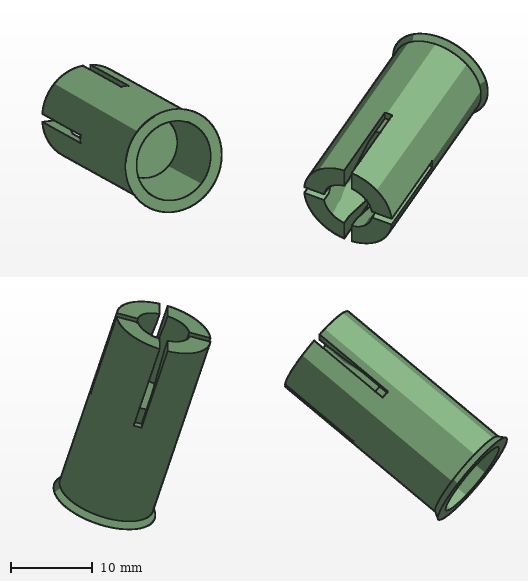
import cadquery as cq
import math

sleeve_length = 25.0
sleeve_radius = 6.0
bore_radius = 5.0

lip_radius = 6.5
lip_angle = 30.0
lip_length = (lip_radius - sleeve_radius) / math.tan(math.radians(lip_angle))

mouth_radius = 3.3
mouth_length = 1.3
mouth_cone_angle = 17.5
mouth_cone_length = (bore_radius - mouth_radius) / math.tan(math.radians(mouth_cone_angle))

slot_width = 1.0
slot_length = 11.0
slot_cut_angles = (0.0, 90.0)

plug_start = 9.5
plug_length = 8.0
plug_radius = 4.0
plug_taper_length = 1.3
plug_taper_angle = 5.0
plug_nose_radius = plug_radius - plug_taper_length * math.tan(math.radians(plug_taper_angle))


def turned_about_x(profile):
    """Solid turned about the X axis from (x, radius) points."""
    return cq.Workplane("XY").polyline(profile).close().revolve(360, (0, 0, 0), (1, 0, 0))


def make_sleeve():
    cone_end = mouth_length + mouth_cone_length
    body = turned_about_x([
        (0, mouth_radius),
        (mouth_length, mouth_radius),
        (cone_end, bore_radius),
        (sleeve_length, bore_radius),
        (sleeve_length, lip_radius),
        (sleeve_length - lip_length, sleeve_radius),
        (0, sleeve_radius),
    ])
    slot_cutter = cq.Workplane("XY").box(
        slot_length, slot_width, 2 * lip_radius, centered=(False, True, True)
    )
    for angle in slot_cut_angles:
        body = body.cut(slot_cutter.rotate((0, 0, 0), (1, 0, 0), angle))
    return body


def make_plug():
    plug_end = plug_start + plug_length
    return turned_about_x([
        (plug_start, 0),
        (plug_start, plug_nose_radius),
        (plug_start + plug_taper_length, plug_radius),
        (plug_end, plug_radius),
        (plug_end, 0),
    ])


sleeve = make_sleeve()
plug = make_plug()

result = cq.Compound.makeCompound([sleeve.val(), plug.val()])